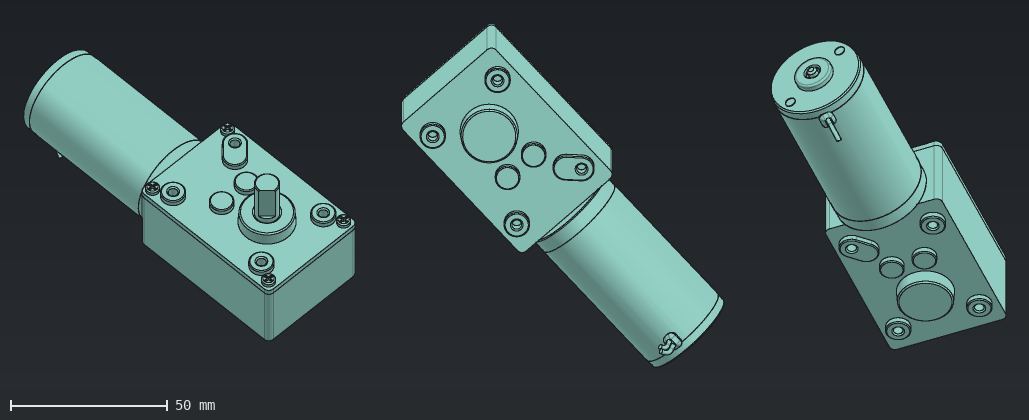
import cadquery as cq
import math


BOX_LEFT = -37.5
BOX_RIGHT = 20.8
BOX_LENGTH = BOX_RIGHT - BOX_LEFT
BOX_CENTRE_X = (BOX_LEFT + BOX_RIGHT) / 2
BOX_WIDTH = 40.0
BOX_CORNER_RADIUS = 2.0
COVER_BOTTOM = 24.2
COVER_TOP = 26.2

HUB_BASE_RADIUS = 9.3
HUB_TOP_RADIUS = 8.9
HUB_HEIGHT = 4.8
HUB_CHAMFER = 0.5
BOSS_HEIGHT = 2.1
BOSS_RADIUS = 4.0
BOSS_CHAMFER = 0.4
BOSS_LEFT = -28.5
BOSS_RIGHT = 11.4
BOSS_Y = 13.9
LONG_BOSS_ANGLE = -45
LONG_BOSS_SHIFT = 3.6
PAD_RADIUS = 3.9
PAD_X = -14.9
PAD_Y = 5.6
BOSS_HOLE_RADIUS = 1.5
BOSS_HOLE_DEPTH = BOSS_HEIGHT + COVER_TOP - COVER_BOTTOM
COUNTERSINK = 0.5
COUNTERSINK_ANGLE = 90

SHAFT_RADIUS = 4.0
SHAFT_BOTTOM = 0.0
SHAFT_TOP = 45.8
SHAFT_CHAMFER = 0.4
SHAFT_FLAT_OFFSET = 3.0
SHAFT_FLAT_BOTTOM = 32.6
SHAFT_FLAT_DIRECTION = -45
SHAFT_BORE_CHAMFER = 0.6

SCREW_LEFT = -34.7
SCREW_RIGHT = 17.6
SCREW_Y = 16.9
SCREW_HEAD_RADIUS = 2.3
SCREW_HEAD_HEIGHT = 1.7
SCREW_HEAD_CHAMFER = 0.5
SCREW_SHANK_RADIUS = 1.1
SCREW_SHANK_LENGTH = 6.0
CROSS_LENGTH = 2.9
CROSS_WIDTH = 0.7
CROSS_DEPTH = 0.7
CROSS_TURN = 90

MOTOR_Z = 8.7
CAN_RADIUS = 15.6
CAP_RADIUS = 15.5
CAP_CHAMFER = 0.5
CAP_LEFT = -94.8
CAN_LEFT = -91.6
CAN_RIGHT = -42.5
COLLAR_CHAMFER = 0.4
BEARING_RADIUS = 6.3
BEARING_LEFT = -97.1
BEARING_FILLET = 0.7
BEARING_BORE_RADIUS = 2.4
BEARING_BORE_CHAMFER = 0.5
BEARING_BORE_DEPTH = 1.2
TIP_RADIUS = 1.7
TIP_LEFT = -98.2
TIP_CHAMFER = 0.7
END_HOLE_RADIUS = 1.7
END_HOLE_OFFSET = 8.5
END_HOLE_DEPTH = 0.2

LEAD_TILT = 19
LEAD_Y = -2.4
LEAD_X = -89.5
GROMMET_LENGTH = 5.7
GROMMET_WIDTH = 5.0
GROMMET_CORNER_RADIUS = 1.7
GROMMET_CHAMFER = 1.4
GROMMET_ROOT = 0.7
GROMMET_HEIGHT = 2.1
WIRE_DIAMETER = 1.5
WIRE_SPACING = 1.8
WIRE_STRAIGHT = 4.8
WIRE_BEND_RADIUS = 5.0
WIRE_BEND_ANGLE = 60

ALONG_X = cq.Vector(1, 0, 0)
SCREW_POINTS = [(x, y) for x in (SCREW_LEFT, SCREW_RIGHT) for y in (-SCREW_Y, SCREW_Y)]


def cylinder_z(x, y, z, radius, height):
    return cq.Workplane("XY", origin=(x, y, z)).circle(radius).extrude(height)


def cylinder_x(left, right, radius, y=0.0, z=MOTOR_Z):
    plane = cq.Plane(origin=(left, y, z), xDir=(0, 0, 1), normal=(1, 0, 0))
    return cq.Workplane(plane).circle(radius).extrude(right - left)


def box_block(bottom, top):
    """Gearbox outline with rounded vertical corners, between two heights."""
    return (
        cq.Workplane("XY", origin=(BOX_CENTRE_X, 0, bottom))
        .rect(BOX_LENGTH, BOX_WIDTH)
        .extrude(top - bottom)
        .edges("|Z")
        .fillet(BOX_CORNER_RADIUS)
    )


def shaft_hub():
    cone = cq.Solid.makeCone(HUB_BASE_RADIUS, HUB_TOP_RADIUS, HUB_HEIGHT)
    return cq.Workplane(cone).faces(">Z").chamfer(HUB_CHAMFER)


def round_boss(x, y, radius):
    return cylinder_z(x, y, 0, radius, BOSS_HEIGHT).faces(">Z").chamfer(BOSS_CHAMFER)


def long_boss():
    """Slot-shaped boss that runs diagonally inward from one mounting hole."""
    half_shift = LONG_BOSS_SHIFT / 2
    centre = (BOSS_LEFT + half_shift, BOSS_Y - half_shift, 0)
    total_length = LONG_BOSS_SHIFT * math.sqrt(2) + 2 * BOSS_RADIUS
    return (
        cq.Workplane("XY", origin=centre)
        .slot2D(total_length, 2 * BOSS_RADIUS, LONG_BOSS_ANGLE)
        .extrude(BOSS_HEIGHT)
        .faces(">Z")
        .chamfer(BOSS_CHAMFER)
    )


def add_raised_features(block):
    """Add the hub, bosses and pads on the plane Z = 0, all rising in +Z."""
    block = block.union(shaft_hub()).union(long_boss())
    for x, y in [(BOSS_LEFT, -BOSS_Y), (BOSS_RIGHT, -BOSS_Y), (BOSS_RIGHT, BOSS_Y)]:
        block = block.union(round_boss(x, y, BOSS_RADIUS))
    for y in (-PAD_Y, PAD_Y):
        block = block.union(round_boss(PAD_X, y, PAD_RADIUS))
    hole_diameter = 2 * BOSS_HOLE_RADIUS
    mouth_diameter = hole_diameter + 2 * COUNTERSINK
    hole_points = [(x, y) for x in (BOSS_LEFT, BOSS_RIGHT) for y in (-BOSS_Y, BOSS_Y)]
    return (
        block.copyWorkplane(cq.Workplane("XY", origin=(0, 0, BOSS_HEIGHT)))
        .pushPoints(hole_points)
        .cskHole(hole_diameter, mouth_diameter, COUNTERSINK_ANGLE, BOSS_HOLE_DEPTH)
    )


def screw_blank(x, y):
    """Screw without its drive recess, head seated on the cover."""
    head = cylinder_z(x, y, COVER_TOP, SCREW_HEAD_RADIUS, SCREW_HEAD_HEIGHT)
    head = head.faces(">Z").chamfer(SCREW_HEAD_CHAMFER)
    shank = cylinder_z(x, y, COVER_TOP - SCREW_SHANK_LENGTH, SCREW_SHANK_RADIUS, SCREW_SHANK_LENGTH)
    return head.union(shank)


def make_screw(x, y):
    recess = (
        cq.Workplane("XY", origin=(x, y, COVER_TOP + SCREW_HEAD_HEIGHT - CROSS_DEPTH))
        .rect(CROSS_LENGTH, CROSS_WIDTH)
        .extrude(CROSS_DEPTH)
    )
    return screw_blank(x, y).cut(recess).cut(recess.rotate((x, y, 0), (x, y, 1), CROSS_TURN))


def shaft_blank():
    return cylinder_z(0, 0, SHAFT_BOTTOM, SHAFT_RADIUS, SHAFT_TOP - SHAFT_BOTTOM)


def make_shaft():
    flat_length = SHAFT_TOP - SHAFT_FLAT_BOTTOM
    beyond_flat = (
        cq.Workplane("XY", origin=(SHAFT_FLAT_OFFSET + SHAFT_RADIUS / 2, 0, SHAFT_FLAT_BOTTOM))
        .rect(SHAFT_RADIUS, 2 * SHAFT_RADIUS)
        .extrude(flat_length)
    )
    shaft = shaft_blank().faces(">Z").chamfer(SHAFT_CHAMFER).cut(beyond_flat)
    return shaft.rotate((0, 0, 0), (0, 0, 1), SHAFT_FLAT_DIRECTION)


def cut_fasteners_and_shaft(block):
    block = block.cut(shaft_blank())
    for x, y in SCREW_POINTS:
        block = block.cut(screw_blank(x, y))
    return block


def make_housing():
    upper_side_down = add_raised_features(box_block(-COVER_BOTTOM, 0))
    housing = upper_side_down.mirror("XY")
    return cut_fasteners_and_shaft(housing)


def make_cover():
    cover = add_raised_features(box_block(COVER_BOTTOM - COVER_TOP, 0)).translate((0, 0, COVER_TOP))
    cover = cut_fasteners_and_shaft(cover)
    bore_mouth = cq.Workplane(
        cq.Solid.makeCone(
            SHAFT_RADIUS,
            SHAFT_RADIUS + SHAFT_BORE_CHAMFER,
            SHAFT_BORE_CHAMFER,
            pnt=cq.Vector(0, 0, COVER_TOP + HUB_HEIGHT - SHAFT_BORE_CHAMFER),
        )
    )
    return cover.cut(bore_mouth)


def motor_bearing():
    """Bearing boss on the motor's end cap, with the shaft tip standing in its bore."""
    bearing = cylinder_x(BEARING_LEFT, CAP_LEFT, BEARING_RADIUS).faces("<X").edges().fillet(BEARING_FILLET)
    bore = cylinder_x(BEARING_LEFT, BEARING_LEFT + BEARING_BORE_DEPTH, BEARING_BORE_RADIUS)
    bearing = bearing.cut(bore)
    bearing = bearing.faces("<X").edges(cq.selectors.RadiusNthSelector(0)).chamfer(BEARING_BORE_CHAMFER)
    tip = cylinder_x(TIP_LEFT, CAP_LEFT, TIP_RADIUS).faces("<X").chamfer(TIP_CHAMFER)
    return bearing.union(tip)


def bent_wire(root, outward, offset):
    """One wire that starts `offset` along X from `root`, runs outward and then bends towards +X."""
    radius = WIRE_BEND_RADIUS - offset
    half_turn = math.radians(WIRE_BEND_ANGLE) / 2
    bend_middle, bend_end = [
        (WIRE_BEND_RADIUS - radius * math.cos(turn), WIRE_STRAIGHT + radius * math.sin(turn))
        for turn in (half_turn, 2 * half_turn)
    ]
    path = (
        cq.Workplane(cq.Plane(root, ALONG_X, ALONG_X.cross(outward)))
        .moveTo(offset, 0)
        .lineTo(offset, WIRE_STRAIGHT)
        .threePointArc(bend_middle, bend_end)
    )
    start_plane = cq.Plane(root + ALONG_X * offset, ALONG_X, outward)
    return cq.Workplane(start_plane).circle(WIRE_DIAMETER / 2).sweep(path)


def motor_lead():
    """Grommet and two wires, bent towards +X in a plane tilted about X."""
    tilt = math.radians(LEAD_TILT)
    outward = cq.Vector(0, -math.sin(tilt), -math.cos(tilt))
    surface_z = MOTOR_Z - math.sqrt(CAN_RADIUS**2 - LEAD_Y**2)
    surface_point = cq.Vector(LEAD_X, LEAD_Y, surface_z)
    root = surface_point - outward * GROMMET_ROOT
    lead = (
        cq.Workplane(cq.Plane(root, ALONG_X, outward))
        .rect(GROMMET_LENGTH, GROMMET_WIDTH)
        .extrude(GROMMET_HEIGHT)
        .edges(cq.selectors.ParallelDirSelector(outward))
        .fillet(GROMMET_CORNER_RADIUS)
        .faces(cq.selectors.DirectionMinMaxSelector(outward))
        .chamfer(GROMMET_CHAMFER)
    )
    for side in (-1, 1):
        lead = lead.union(bent_wire(root, outward, side * WIRE_SPACING / 2))
    return lead


def make_motor():
    cap = cylinder_x(CAP_LEFT, CAN_LEFT, CAP_RADIUS).faces("<X").chamfer(CAP_CHAMFER)
    for side in (-1, 1):
        hole_y = -side * END_HOLE_OFFSET
        hole_z = MOTOR_Z + side * END_HOLE_OFFSET
        cap = cap.cut(cylinder_x(CAP_LEFT, CAP_LEFT + END_HOLE_DEPTH, END_HOLE_RADIUS, hole_y, hole_z))
    can = cylinder_x(CAN_LEFT, CAN_RIGHT, CAN_RADIUS)
    collar = cylinder_x(CAN_RIGHT, BOX_LEFT, CAP_RADIUS).faces(">X").chamfer(COLLAR_CHAMFER)
    return can.union(cap).union(collar).union(motor_bearing()).union(motor_lead())


housing = make_housing()
cover = make_cover()
shaft = make_shaft()
motor = make_motor()
screws = [make_screw(x, y) for x, y in SCREW_POINTS]

result = cq.Compound.makeCompound(
    [housing.val(), cover.val(), shaft.val(), motor.val(), *[screw.val() for screw in screws]]
)